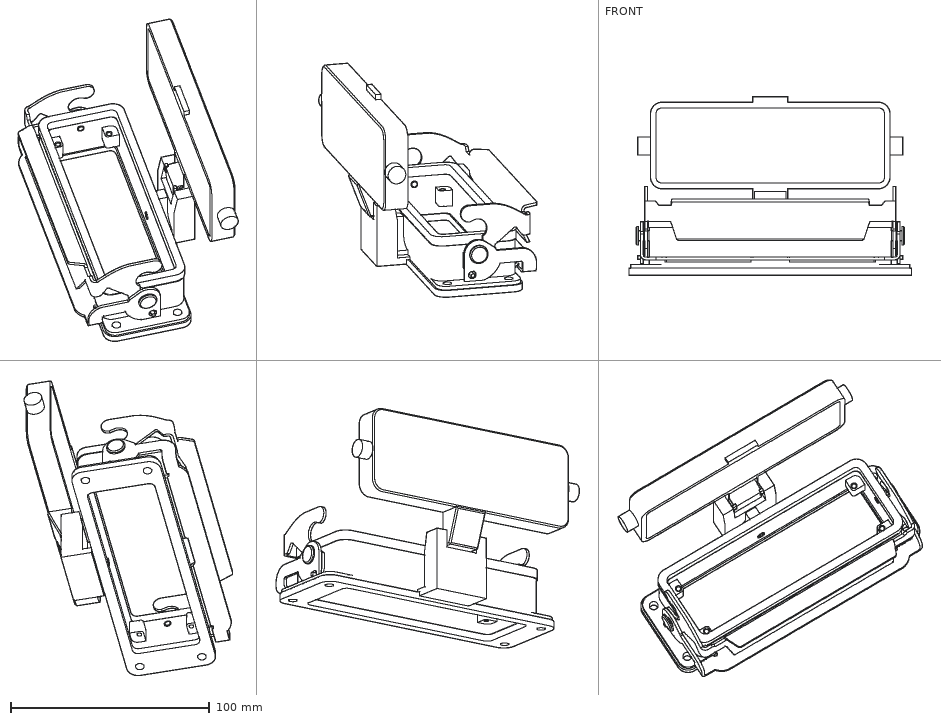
import cadquery as cq
import math

SIDES = (-1, 1)

flange_length, flange_width, flange_top = 142.5, 45.7, 3.6
flange_radius = 6.0
step_inset, step_top = 0.9, 5.5
wall_length, rim_bottom = 122.0, 24.0
wall_width = flange_width - 2 * step_inset
rim_overhang, rim_top = 0.4, 29.0
corner_radius = 6.0
cavity_length, cavity_width, cavity_radius = 114.4, 36.4, 2.9
cavity_step, lower_cavity_radius = 0.1, 3.2
opening_inset = 0.85
ledge_height = flange_top
mount_hole_x, mount_hole_y, mount_hole_diameter = 65.2, 16.0, 4.3
post_inner_x, post_inner_y, post_bottom, post_top = 50.0, 11.1, 9.3, 17.6
post_corner_radius, post_root = 1.4, 1.0
post_hole_x, post_hole_y, post_hole_diameter = 52.1, 13.4, 2.2
post_hole_countersink = 3.1

sheet = 1.5
pivot_z = 19.9
rivet_diameter, rivet_tail_diameter = 5.2, 3.4
rivet_head_diameter, rivet_head_thickness, rivet_head_chamfer = 9.4, 1.4, 0.65
rivet_head_outer_x = 67.7
tail_chamfer = 0.4
hook_outer_x, handle_outer_x = 63.3, 65.4
stop_pin_y, stop_pin_z, stop_pin_diameter, stop_pin_end_x = 3.05, 8.9, 1.9, 66.8
stop_hole_diameter = 3.9

mouth_z, mouth_radius = 32.3, 5.2
tip_y, tip_z, tip_radius = 4.1, 40.5, 4.3
strap_front_y, strap_bottom, strap_top, strap_notch_z = -28.3, 27.15, 37.55, 35.3
strap_bend = 2.7
strap_notch_outer, strap_notch_inner, strap_notch_end = 57.9, 56.1, 50.0
tab_end_y, tab_bend, tab_top = -36.0, 2.7, 38.5
tab_root_half, tab_end_half, tab_corner = 49.4, 46.6, 1.5
flap_kink_z, flap_end_z, flap_angle, flap_kink_radius = 25.4, 18.2, 27.0, 1.2
flap_root_half, flap_kink_half, flap_end_half = 50.3, 49.6, 47.0

lug_radius, lug_bottom = 7.1, 5.7
arm_top, arm_bottom = 20.8, 14.0
arm_rear_y, arm_front_y = -23.4, -30.5
bar_bottom, bar_bend = 7.6, 2.9
bar_grip_y, bar_grip_root_half, bar_grip_end_half = -34.0, 57.7, 51.9
lip_rear_y, lip_bottom, lip_round = -22.3, 6.8, 1.0
slot_half, slot_front_y, slot_slant = 9.8, -24.6, 1.2
relief_x, relief_radius = 53.4, 1.2

lid_length, lid_bottom, lid_top = 120.8, 43.5, 87.3
lid_front_y, lid_back_y, lid_radius, lid_back_chamfer = 35.3, 47.73, 6.0, 0.8
lid_cavity_length, lid_cavity_bottom, lid_cavity_top = 115.0, 46.6, 84.2
lid_floor_y, lid_cavity_radius, lid_floor_fillet = 45.3, 2.5, 1.0
lid_pin_diameter, lid_pin_y, lid_pin_z, lid_pin_end_x = 9.2, 42.8, 65.2, 66.8
thumb_half, thumb_rear_y, thumb_top = 8.9, 38.2, 90.0
arm_half, arm_inner_half = 8.9, 8.05
arm_hollow_bottom, arm_hollow_top = 34.9, 42.3
arm_hollow_rear_y, arm_edge_chamfer = 40.2, 0.8
ear_inner_half, ear_front_y, ear_rear_y, ear_bottom, ear_top = 7.0, 30.2, 31.6, 30.2, 34.7

bracket_half, bracket_rear_y, bracket_front_y = 15.2, 39.3, 28.4
bracket_bottom, cheek_top, cheek_top_front_y = 1.3, 33.2, 30.1
fork_half, fork_floor = 9.1, 24.2
foot_top, foot_front_y = 5.0, 23.7
rib_half, rib_top, rib_base_half = 2.95, 22.8, 10.9
rib_curve_bottom, rib_curve_top, rib_upper_radius = 7.3, 13.3, 5.1
stud_diameter, stud_z = 4.0, 9.2


def rounded_block(length, width, bottom, top, radius):
    block = cq.Workplane("XY").workplane(offset=bottom).rect(length, width).extrude(top - bottom)
    return block.edges("|Z").fillet(radius)


def box(x_range, y_range, z_range):
    (x0, x1), (y0, y1), (z0, z1) = x_range, y_range, z_range
    return cq.Workplane("XY").box(x1 - x0, y1 - y0, z1 - z0, centered=False).translate((x0, y0, z0))


def x_cylinder(diameter, y, z, x_start, x_end):
    plane = cq.Workplane("YZ", origin=(x_start, 0, 0))
    return plane.center(y, z).circle(diameter / 2).extrude(x_end - x_start)


def mirrored_in_x(solid):
    return solid.union(solid.mirror("YZ"))


def point_on_circle(y, z, radius, degrees):
    angle = math.radians(degrees)
    return (y + radius * math.cos(angle), z + radius * math.sin(angle))


def make_post(side_x, side_y):
    """Threaded post standing in one corner of the cavity."""
    length = cavity_length / 2 - post_inner_x + post_root
    width = cavity_width / 2 - post_inner_y + post_root
    post = (
        cq.Workplane("XY")
        .box(length, width, post_top - post_bottom, centered=False)
        .translate((post_inner_x, post_inner_y, post_bottom))
        .edges("|Z and <X and <Y")
        .fillet(post_corner_radius)
        .faces(">Z")
        .workplane(origin=(post_hole_x, post_hole_y, 0))
        .cskHole(post_hole_diameter, post_hole_countersink, 90)
    )
    if side_x < 0:
        post = post.mirror("YZ")
    if side_y < 0:
        post = post.mirror("XZ")
    return post


def make_housing():
    step_length = flange_length - 2 * step_inset
    step_radius = flange_radius - step_inset
    rim_length = wall_length + 2 * rim_overhang
    rim_width = wall_width + 2 * rim_overhang
    body = rounded_block(flange_length, flange_width, 0, flange_top, flange_radius)
    body = body.union(rounded_block(step_length, wall_width, flange_top, step_top, step_radius))
    body = body.union(rounded_block(wall_length, wall_width, step_top, rim_bottom, corner_radius))
    body = body.union(rounded_block(rim_length, rim_width, rim_bottom, rim_top, corner_radius))
    lower_length = cavity_length - 2 * cavity_step
    lower_width = cavity_width - 2 * cavity_step
    opening_length = cavity_length - 2 * opening_inset
    opening_width = cavity_width - 2 * opening_inset
    body = body.cut(rounded_block(cavity_length, cavity_width, rim_bottom, rim_top, cavity_radius))
    body = body.cut(rounded_block(lower_length, lower_width, ledge_height, rim_bottom, lower_cavity_radius))
    body = body.cut(rounded_block(opening_length, opening_width, 0, ledge_height, cavity_radius))
    for side_x in SIDES:
        for side_y in SIDES:
            body = body.union(make_post(side_x, side_y))
    mount_holes = (
        cq.Workplane("XY")
        .rect(2 * mount_hole_x, 2 * mount_hole_y, forConstruction=True)
        .vertices()
        .circle(mount_hole_diameter / 2)
        .extrude(step_top)
    )
    pivot_holes = x_cylinder(rivet_tail_diameter, 0, pivot_z, -wall_length / 2, wall_length / 2)
    return body.cut(mount_holes).cut(pivot_holes).cut(make_stud_core())


def make_hook_plate():
    """Flat plate on the +X side with a mouth that catches the lid pin and a lug on the rivet."""
    mouth_start = point_on_circle(0, mouth_z, mouth_radius, 75)
    mouth_end = point_on_circle(0, mouth_z, mouth_radius, 218)
    mouth_middle = point_on_circle(0, mouth_z, mouth_radius, 146.5)
    strap_tangent_y = strap_front_y + strap_bend
    outline = (
        cq.Workplane("YZ", origin=(hook_outer_x - sheet, 0, 0))
        .moveTo(tip_y, tip_z + tip_radius)
        .lineTo(-9.0, tip_z + tip_radius)
        .threePointArc((-15.6, 43.1), (-20.6, 40.6))
        .lineTo(strap_tangent_y, strap_top)
        .lineTo(strap_tangent_y, strap_bottom)
        .lineTo(-23.8, strap_bottom)
        .lineTo(-22.3, 29.0)
        .lineTo(-20.9, 31.0)
        .threePointArc((-19.9, 31.7), (-18.8, 31.1))
        .lineTo(-9.5, 23.4)
        .lineTo(-9.3, 22.2)
        .lineTo(-4.0, 13.5)
        .threePointArc((1.5, 8.0), (7.0, 13.5))
        .lineTo(7.0, pivot_z)
        .lineTo(-2.95, 26.1)
        .lineTo(-2.95, 28.2)
        .lineTo(*mouth_end)
        .threePointArc(mouth_middle, mouth_start)
        .lineTo(tip_y, tip_z - tip_radius)
        .threePointArc((tip_y + tip_radius, tip_z), (tip_y, tip_z + tip_radius))
        .close()
    )
    return outline.extrude(sheet)


def make_strap():
    """Upright front strip joining the two hook plates through rounded corners."""
    strap_rear_y = strap_front_y + sheet
    height = strap_top - strap_bottom
    depth = strap_bend
    outer = (
        cq.Workplane("XY", origin=(0, 0, strap_bottom))
        .rect(2 * hook_outer_x, 2 * depth)
        .extrude(height)
        .edges("|Z and <Y")
        .fillet(strap_bend)
    )
    inner = (
        cq.Workplane("XY", origin=(0, sheet, strap_bottom))
        .rect(2 * (hook_outer_x - sheet), 2 * depth)
        .extrude(height)
        .edges("|Z and <Y")
        .fillet(strap_bend - sheet)
    )
    keep = box((-hook_outer_x, hook_outer_x), (-depth, 0), (strap_bottom, strap_top))
    strap = outer.cut(inner).intersect(keep).translate((0, strap_front_y + depth, 0))
    notch = (
        cq.Workplane("XZ", origin=(0, strap_rear_y, 0))
        .polyline([
            (-strap_notch_outer, strap_top),
            (-strap_notch_inner, strap_notch_z),
            (strap_notch_inner, strap_notch_z),
            (strap_notch_outer, strap_top),
        ])
        .close()
        .extrude(sheet)
    )
    return strap.cut(notch)


def make_tab():
    """Horizontal finger tab bent forward from the top of the strap."""
    rear_y = strap_front_y + sheet
    inner_bend = tab_bend - sheet
    bend_y = rear_y - tab_bend
    bend_z = tab_top - tab_bend
    outer_middle = point_on_circle(bend_y, bend_z, tab_bend, 45)
    inner_middle = point_on_circle(bend_y, bend_z, inner_bend, 45)
    profile = (
        cq.Workplane("YZ", origin=(-strap_notch_end, 0, 0))
        .moveTo(rear_y, strap_notch_z)
        .lineTo(rear_y, bend_z)
        .threePointArc(outer_middle, (bend_y, tab_top))
        .lineTo(tab_end_y, tab_top)
        .lineTo(tab_end_y, tab_top - sheet)
        .lineTo(bend_y, tab_top - sheet)
        .threePointArc(inner_middle, (strap_front_y, bend_z))
        .lineTo(strap_front_y, strap_notch_z)
        .close()
        .extrude(2 * strap_notch_end)
    )
    plan = (
        cq.Workplane("XY", origin=(0, 0, strap_notch_z))
        .polyline([
            (-strap_notch_end, rear_y),
            (-tab_root_half, bend_y),
            (-tab_end_half, tab_end_y),
            (tab_end_half, tab_end_y),
            (tab_root_half, bend_y),
            (strap_notch_end, rear_y),
        ])
        .close()
        .extrude(tab_top - strap_notch_z)
        .edges("|Z and <Y")
        .fillet(tab_corner)
    )
    return profile.intersect(plan)


def make_flap():
    """Strip below the strap, kinked forward and tapering to its lower end."""
    angle = math.radians(flap_angle)
    rear_y = strap_front_y + sheet
    rear_kink_z = flap_kink_z - sheet * math.tan(angle / 2)
    length = (flap_kink_z - flap_end_z) / math.cos(angle)
    front_end = (strap_front_y - length * math.sin(angle), flap_end_z)
    rear_end = (front_end[0] + sheet * math.cos(angle), front_end[1] - sheet * math.sin(angle))
    profile = (
        cq.Workplane("YZ", origin=(-flap_root_half, 0, 0))
        .polyline([
            (rear_y, strap_bottom),
            (strap_front_y, strap_bottom),
            (strap_front_y, flap_kink_z),
            front_end,
            rear_end,
            (rear_y, rear_kink_z),
        ])
        .close()
        .extrude(2 * flap_root_half)
    )
    kink_edges = cq.selectors.BoxSelector(
        (-sheet, front_end[0], rear_kink_z - sheet),
        (sheet, rear_y + sheet, flap_kink_z + sheet),
    )
    profile = profile.edges("|X").edges(kink_edges).fillet(flap_kink_radius)
    elevation = (
        cq.Workplane("XZ", origin=(0, rear_y, 0))
        .polyline([
            (-flap_root_half, strap_bottom),
            (-flap_kink_half, flap_kink_z),
            (-flap_end_half, rear_end[1]),
            (flap_end_half, rear_end[1]),
            (flap_kink_half, flap_kink_z),
            (flap_root_half, strap_bottom),
        ])
        .close()
        .extrude(rear_y - front_end[0])
        .edges("|Y and <Z")
        .fillet(tab_corner)
    )
    return profile.intersect(elevation)


def make_handle_plate():
    """Flat plate on the +X side: a lug round the rivet and an arm curving down to the bar."""
    lug_middle = point_on_circle(0, pivot_z, lug_radius, 80)
    lug_end = point_on_circle(0, pivot_z, lug_radius, 130)
    bend_z = bar_bottom + bar_bend
    plate = (
        cq.Workplane("YZ", origin=(handle_outer_x - sheet, 0, 0))
        .moveTo(lug_radius, lug_bottom)
        .lineTo(lug_radius, pivot_z)
        .threePointArc(lug_middle, lug_end)
        .lineTo(-9.2, 22.0)
        .lineTo(-9.8, arm_top)
        .lineTo(-23.9, arm_top)
        .threePointArc((-28.6, 18.1), (arm_front_y, 13.8))
        .lineTo(arm_front_y, bend_z)
        .lineTo(arm_rear_y, bend_z)
        .lineTo(arm_rear_y, 13.3)
        .lineTo(-22.7, arm_bottom)
        .lineTo(-11.5, arm_bottom)
        .threePointArc((-8.0, 8.8), (-3.0, lug_bottom))
        .close()
        .extrude(sheet)
    )
    stop_hole = x_cylinder(
        stop_hole_diameter, stop_pin_y, stop_pin_z, handle_outer_x - sheet, handle_outer_x
    )
    return plate.cut(stop_hole)


def make_bar():
    """Flat grip bar under the handle plates, joined to them through rounded corners."""
    depth = arm_rear_y - arm_front_y
    height = bar_bend
    outer = (
        cq.Workplane("XZ", origin=(0, arm_rear_y, 0))
        .rect(2 * handle_outer_x, 2 * height)
        .extrude(depth)
        .edges("|Y and <Z")
        .fillet(bar_bend)
    )
    inner = (
        cq.Workplane("XZ", origin=(0, arm_rear_y, sheet))
        .rect(2 * (handle_outer_x - sheet), 2 * height)
        .extrude(depth)
        .edges("|Y and <Z")
        .fillet(bar_bend - sheet)
    )
    keep = box((-handle_outer_x, handle_outer_x), (arm_front_y, arm_rear_y), (-height, 0))
    bar = outer.cut(inner).intersect(keep).translate((0, 0, bar_bottom + height))

    side_middle = (54.6, -33.1)
    grip = (
        cq.Workplane("XY", origin=(0, 0, bar_bottom))
        .moveTo(-bar_grip_root_half, arm_front_y)
        .threePointArc((-side_middle[0], side_middle[1]), (-bar_grip_end_half, bar_grip_y))
        .lineTo(bar_grip_end_half, bar_grip_y)
        .threePointArc(side_middle, (bar_grip_root_half, arm_front_y))
        .close()
        .extrude(sheet)
    )
    lip = (
        box((-relief_x, relief_x), (arm_rear_y, lip_rear_y), (lip_bottom, bar_bottom + sheet))
        .edges("|X and >Y and >Z")
        .fillet(lip_round)
    )
    slot = (
        cq.Workplane("XY", origin=(0, 0, lip_bottom))
        .polyline([
            (-slot_half, lip_rear_y),
            (-slot_half, slot_front_y + slot_slant),
            (-slot_half + slot_slant, slot_front_y),
            (slot_half - slot_slant, slot_front_y),
            (slot_half, slot_front_y + slot_slant),
            (slot_half, lip_rear_y),
        ])
        .close()
        .extrude(sheet + bar_bottom - lip_bottom)
    )
    reliefs = (
        cq.Workplane("XY", origin=(0, 0, lip_bottom))
        .pushPoints([(side * relief_x, arm_rear_y) for side in SIDES])
        .circle(relief_radius)
        .extrude(sheet + bar_bottom - lip_bottom)
    )
    return bar.union(grip).union(lip).cut(slot).cut(reliefs)


def make_rivet():
    """Pivot rivet on the +X side: chamfered head, shank, and tail filling the hole in the wall."""
    head_inner_x = rivet_head_outer_x - rivet_head_thickness
    head = x_cylinder(rivet_head_diameter, 0, pivot_z, head_inner_x, rivet_head_outer_x)
    head = head.faces(">X").chamfer(rivet_head_chamfer)
    shank = x_cylinder(rivet_diameter, 0, pivot_z, wall_length / 2, head_inner_x)
    tail_end_x = cavity_length / 2 - cavity_step
    tail = x_cylinder(rivet_tail_diameter, 0, pivot_z, tail_end_x, wall_length / 2)
    tail = tail.faces("<X").chamfer(tail_chamfer)
    return head.union(shank).union(tail)


def make_lever():
    stop_pin = x_cylinder(
        stop_pin_diameter, stop_pin_y, stop_pin_z, hook_outer_x - sheet, stop_pin_end_x
    )
    side = make_hook_plate().union(make_handle_plate()).union(make_rivet()).union(stop_pin)
    lever = mirrored_in_x(side)
    for piece in (make_strap(), make_tab(), make_flap(), make_bar()):
        lever = lever.union(piece)
    return lever


def make_lid_cap():
    """Shallow tray standing on edge, open towards -Y."""
    middle_z = (lid_bottom + lid_top) / 2
    cap = (
        cq.Workplane("XZ", origin=(0, lid_back_y, middle_z))
        .rect(lid_length, lid_top - lid_bottom)
        .extrude(lid_back_y - lid_front_y)
        .edges("|Y")
        .fillet(lid_radius)
        .faces(">Y")
        .chamfer(lid_back_chamfer)
    )
    cavity = (
        cq.Workplane("XZ", origin=(0, lid_floor_y, (lid_cavity_bottom + lid_cavity_top) / 2))
        .rect(lid_cavity_length, lid_cavity_top - lid_cavity_bottom)
        .extrude(lid_floor_y - lid_front_y)
        .edges("|Y")
        .fillet(lid_cavity_radius)
        .faces(">Y")
        .edges()
        .fillet(lid_floor_fillet)
    )
    return cap.cut(cavity)


def make_lid_arm():
    """Hollowed arm running from the lid down into the fork of the hinge bracket."""
    arm = (
        cq.Workplane("YZ", origin=(-arm_half, 0, 0))
        .polyline([
            (lid_front_y, lid_bottom),
            (lid_back_y - lid_back_chamfer, lid_bottom + lid_back_chamfer),
            (lid_back_y, lid_bottom - lid_back_chamfer),
            (41.5, 26.2),
            (40.9, 25.5),
            (31.4, 25.5),
            (31.4, 33.3),
            (lid_front_y, 34.2),
        ])
        .close()
        .extrude(2 * arm_half)
    )
    for side in SIDES:
        outer_x = side * arm_half
        rear_edges = cq.selectors.BoxSelector(
            (outer_x - arm_edge_chamfer, lid_front_y + arm_edge_chamfer / 2, bracket_bottom),
            (outer_x + arm_edge_chamfer, lid_back_y - arm_edge_chamfer, lid_bottom - arm_edge_chamfer),
        )
        arm = arm.edges(rear_edges).chamfer(arm_edge_chamfer)
    hollow = box(
        (-arm_inner_half, arm_inner_half),
        (lid_front_y, arm_hollow_rear_y),
        (arm_hollow_bottom, arm_hollow_top),
    )
    tongue = (
        cq.Workplane("YZ", origin=(-arm_inner_half, 0, 0))
        .polyline([
            (arm_hollow_rear_y, arm_hollow_bottom),
            (33.2, arm_hollow_bottom),
            (31.9, 34.5),
            (30.4, 33.7),
            (31.0, fork_floor),
            (32.6, fork_floor),
            (arm_hollow_rear_y, 30.0),
        ])
        .close()
        .extrude(2 * arm_inner_half)
    )
    ear = box((ear_inner_half, arm_half), (ear_front_y, ear_rear_y), (ear_bottom, ear_top))
    return arm.cut(hollow).union(tongue).union(mirrored_in_x(ear))


def make_lid():
    pins = x_cylinder(lid_pin_diameter, lid_pin_y, lid_pin_z, lid_length / 2, lid_pin_end_x)
    thumb = box((-thumb_half, thumb_half), (lid_front_y, thumb_rear_y), (lid_top, thumb_top))
    return make_lid_cap().union(mirrored_in_x(pins)).union(thumb).union(make_lid_arm())


def make_stud_core():
    """Plain cylinder through the housing's rear wall, shared by the stud and its hole."""
    rear_wall_y = wall_width / 2
    plane = cq.Workplane("XZ", origin=(0, rear_wall_y, stud_z))
    return plane.circle(stud_diameter / 2).extrude(rear_wall_y - cavity_width / 2 + cavity_step)


def make_stud():
    return make_stud_core().faces("<Y").chamfer(tail_chamfer)


def make_rib():
    """Web between the fork and the housing wall, its sides flaring through two tangent arcs."""
    wall_y = wall_width / 2
    flare_width = rib_base_half - rib_half
    flare_height = rib_curve_top - rib_curve_bottom
    small = rib_upper_radius
    large = (flare_width**2 + flare_height**2 - 2 * flare_width * small) / (2 * (flare_height - small))
    small_center = (rib_half + small, rib_curve_top)
    large_center = (rib_base_half, rib_curve_bottom + large)
    tangent_angle = math.degrees(
        math.atan2(small_center[1] - large_center[1], small_center[0] - large_center[0])
    )
    tangent = point_on_circle(*large_center, large, tangent_angle)
    small_middle = point_on_circle(*small_center, small, (180 + tangent_angle % 360) / 2)
    large_middle = point_on_circle(*large_center, large, (270 + tangent_angle % 360) / 2)
    half = (
        cq.Workplane("XZ", origin=(0, bracket_front_y, 0))
        .moveTo(0, foot_top)
        .lineTo(0, rib_top)
        .lineTo(rib_half, rib_top)
        .lineTo(rib_half, rib_curve_top)
        .threePointArc(small_middle, tangent)
        .threePointArc(large_middle, (rib_base_half, rib_curve_bottom))
        .lineTo(rib_base_half, foot_top)
        .close()
        .extrude(bracket_front_y - wall_y)
    )
    return mirrored_in_x(half)


def make_hinge_bracket():
    fork = (
        cq.Workplane("YZ", origin=(-bracket_half, 0, 0))
        .polyline([
            (bracket_rear_y, bracket_bottom),
            (bracket_rear_y, cheek_top),
            (cheek_top_front_y, cheek_top),
            (bracket_front_y, fork_floor),
            (bracket_front_y, foot_top),
            (wall_width / 2, foot_top),
            (wall_width / 2, flange_top),
            (foot_front_y, flange_top),
            (foot_front_y, bracket_bottom),
        ])
        .close()
        .extrude(2 * bracket_half)
    )
    gap = box((-fork_half, fork_half), (bracket_front_y, bracket_rear_y), (fork_floor, cheek_top))
    return fork.cut(gap).union(make_rib()).union(make_stud())


housing = make_housing()
lever = make_lever()
lid = make_lid()
hinge_bracket = make_hinge_bracket()

bodies = (housing, lever, lid, hinge_bracket)
result = cq.Compound.makeCompound([body.solids().val() for body in bodies])